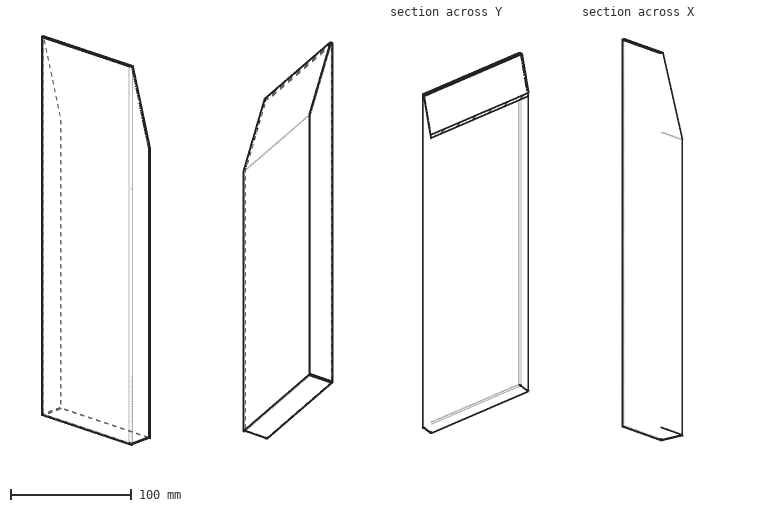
import cadquery as cq

width = 102.0
depth = 24.0
height = 335.7

sheet = 1.0
outer_bend = 2.0
inner_bend = outer_bend - sheet

taper_start = 256.8
taper_top_depth = 3.0


def rounded_block(inset, bend, back, top):
    """Block inset from the sides, front and bottom, with its front bend edges rounded."""
    block = cq.Workplane("XY").box(
        width - 2 * inset, back - inset, top - inset, centered=(True, False, False)
    )
    block = block.faces("<Y").edges("|Z or <Z").fillet(bend)
    return block.translate((0, inset, inset))


def tapered_prism(inset):
    """Full-width prism of the side outline, its back and taper moved forward by inset."""
    back = depth - inset
    prism = (
        cq.Workplane("YZ")
        .moveTo(0, 0)
        .lineTo(back, 0)
        .lineTo(back, taper_start)
        .lineTo(taper_top_depth - inset, height)
        .lineTo(0, height)
        .close()
        .extrude(width / 2, both=True)
    )
    bend_edge = cq.selectors.NearestToPointSelector((0, back, taper_start))
    return prism.edges(bend_edge).fillet(outer_bend - inset)


def corner_notch(side):
    """Open seam along the lower corner between a side wall and the bottom flange."""
    seam_length = depth - sheet - outer_bend
    return (
        cq.Workplane("XY")
        .box(sheet, seam_length, sheet, centered=(True, False, False))
        .translate((side * (width - sheet) / 2, outer_bend, 0))
    )


overrun = 3.5
outside = rounded_block(0, outer_bend, depth, height)
cavity = rounded_block(sheet, inner_bend, depth + overrun, height + overrun)
tray = outside.intersect(tapered_prism(sheet)).cut(cavity)

for side in (-1, 1):
    tray = tray.cut(corner_notch(side))

cover = tapered_prism(0).cut(tapered_prism(sheet))
result = tray.union(cover, clean=False)